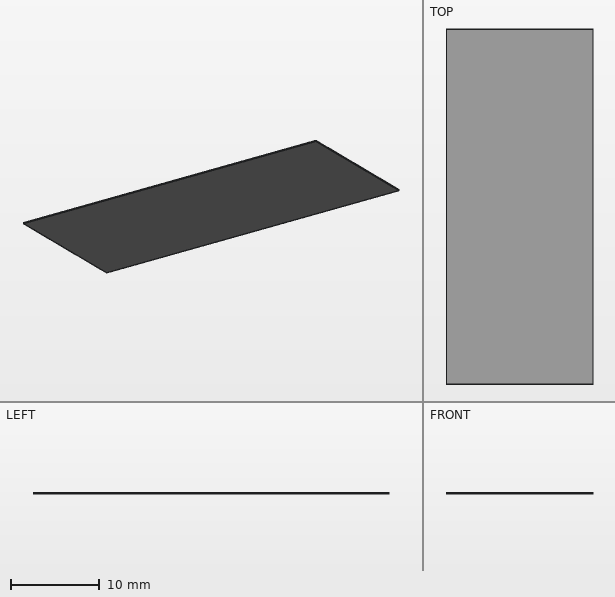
import cadquery as cq

width = 16.5
length = 40.0
thickness = 0.14

result = cq.Workplane("XY").box(width, length, thickness)